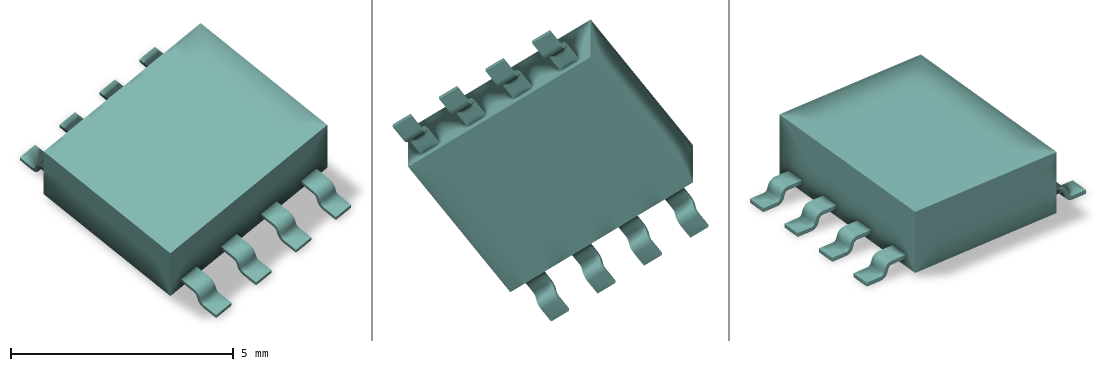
import cadquery as cq
import math

overall_width = 6.2
housing_width = 4.0
housing_length = 5.0
overall_height = 1.75
standoff = 0.105
housing_height = overall_height - standoff

leads_per_side = 4
lead_pitch = 1.27
lead_width = 0.49
lead_thickness = 0.105
lead_length = (overall_width - housing_width) / 2
foot_length = 0.385
lead_rise = 0.31
bend_angle = 73.0
inner_radius = 0.105
outer_radius = inner_radius + lead_thickness

marker_diameter = 0.2
marker_depth = 0.1
marker_inset_x = 0.695
marker_inset_y = 0.6
marker_x = -housing_width / 2 + marker_inset_x
marker_y = housing_length / 2 - marker_inset_y


def marker_disc():
    """Flush disc that identifies pin 1."""
    return (
        cq.Workplane("XY", origin=(marker_x, marker_y, overall_height))
        .circle(marker_diameter / 2)
        .extrude(-marker_depth)
    )


def housing_block():
    """Plain rectangular housing with a recess for the pin-1 marker."""
    block = (
        cq.Workplane("XY", origin=(0, 0, standoff))
        .rect(housing_width, housing_length)
        .extrude(housing_height)
    )
    return block.cut(marker_disc())


def on_arc(center, radius, angle):
    """Point of a circle at an angle in degrees, counterclockwise from +X."""
    turn = math.radians(angle)
    return (center[0] + radius * math.cos(turn), center[1] + radius * math.sin(turn))


def left_lead(y):
    """S-shaped lead on the -X side, centred at the given Y."""
    tip_x = -overall_width / 2
    root_x = tip_x + lead_length
    shoulder_top = lead_thickness + lead_rise

    slope = math.radians(bend_angle)
    radius_sum = inner_radius + outer_radius
    web_length = (lead_rise - radius_sum * (1 - math.cos(slope))) / math.sin(slope)
    bend_run = radius_sum * math.sin(slope) + web_length * math.cos(slope)

    low_center = (tip_x + foot_length, outer_radius)
    high_center = (low_center[0] + bend_run, shoulder_top - outer_radius)
    low_start = -90
    low_end = low_start + bend_angle
    low_middle = (low_start + low_end) / 2
    high_start = 90
    high_end = high_start + bend_angle
    high_middle = (high_start + high_end) / 2

    profile = (
        cq.Workplane("XZ", origin=(0, y, 0))
        .moveTo(tip_x, 0)
        .lineTo(*on_arc(low_center, outer_radius, low_start))
        .threePointArc(
            on_arc(low_center, outer_radius, low_middle),
            on_arc(low_center, outer_radius, low_end),
        )
        .lineTo(*on_arc(high_center, inner_radius, high_end))
        .threePointArc(
            on_arc(high_center, inner_radius, high_middle),
            on_arc(high_center, inner_radius, high_start),
        )
        .lineTo(root_x, shoulder_top - lead_thickness)
        .lineTo(root_x, shoulder_top)
        .lineTo(*on_arc(high_center, outer_radius, high_start))
        .threePointArc(
            on_arc(high_center, outer_radius, high_middle),
            on_arc(high_center, outer_radius, high_end),
        )
        .lineTo(*on_arc(low_center, inner_radius, low_end))
        .threePointArc(
            on_arc(low_center, inner_radius, low_middle),
            on_arc(low_center, inner_radius, low_start),
        )
        .lineTo(tip_x, lead_thickness)
        .close()
    )
    return profile.extrude(lead_width / 2, both=True)


housing = housing_block()
marker = marker_disc()

leads = []
for row in range(leads_per_side):
    row_y = (row - (leads_per_side - 1) / 2) * lead_pitch
    lead = left_lead(row_y)
    leads.append(lead.val())
    leads.append(lead.mirror("YZ").val())

result = cq.Compound.makeCompound([housing.val(), marker.val(), *leads])